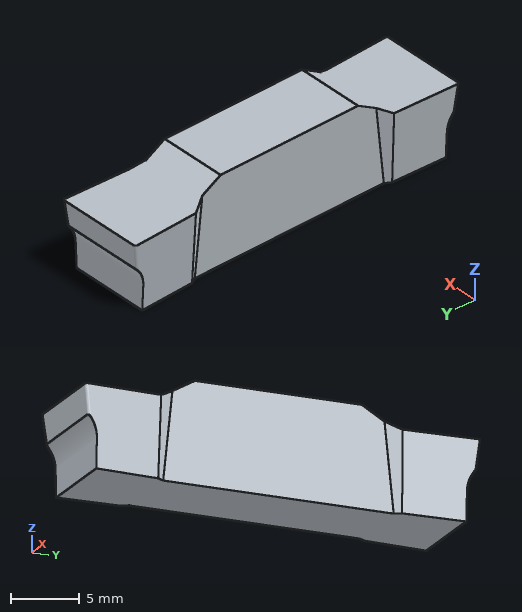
import cadquery as cq
import math

length = 31.62
cutting_width = 8.0
height = 8.08

waist_width = 6.2
crest_length = 13.4
ramp_angle = 30.0
ramp_fillet = 0.6

end_height = 6.38
end_relief_angle = 7.0
end_relief_height = 2.32
foot_length = 29.62
foot_height = 2.3
corner_radius = 0.2
side_taper_angle = 2.5
side_draft_angle = 3.0
shoulder_y = 9.66
shoulder_angle = 30.0

end_overrun = 1.0


def tan_deg(angle):
    return math.tan(math.radians(angle))


def cos_deg(angle):
    return math.cos(math.radians(angle))


half_length = length / 2
half_foot = foot_length / 2
half_crest = crest_length / 2
ramp_foot_y = half_crest + (height - end_height) / tan_deg(ramp_angle)

relief_z = end_height - end_relief_height
relief_y = half_length - end_relief_height * tan_deg(end_relief_angle)
half_base = half_length - end_height * tan_deg(end_relief_angle)

corner_excess = corner_radius * (tan_deg(side_taper_angle) + 1 / cos_deg(side_taper_angle) - 1)
sharp_half_width = cutting_width / 2 + corner_excess


def long_profile():
    """Side outline swept across the full width, with relieved end faces and filleted ramp feet."""
    profile = (
        cq.Workplane("YZ")
        .polyline(
            [
                (-half_base, 0),
                (half_base, 0),
                (half_length, end_height),
                (ramp_foot_y, end_height),
                (half_crest, height),
                (-half_crest, height),
                (-ramp_foot_y, end_height),
                (-half_length, end_height),
            ]
        )
        .close()
        .extrude(cutting_width, both=True)
    )
    for side in (-1, 1):
        ramp_foot = cq.selectors.NearestToPointSelector((0, side * ramp_foot_y, end_height))
        profile = profile.edges(ramp_foot).fillet(ramp_fillet)
    return profile


def undercut():
    """Material removed under the +Y cutting edge: upright foot face and a concave arc tangent to it."""
    return (
        cq.Workplane("YZ")
        .moveTo(half_foot, 0)
        .lineTo(half_foot, foot_height)
        .tangentArcPoint((relief_y, relief_z), relative=False)
        .lineTo(half_length, relief_z)
        .lineTo(half_length, 0)
        .close()
        .extrude(cutting_width, both=True)
    )


def end_outline(z):
    """Plan outline of the +Y end at height z, from the shoulder apex out past the cutting edge."""
    inset = (end_height - z) * tan_deg(side_draft_angle)
    half_width = sharp_half_width - inset / cos_deg(side_taper_angle)

    bisector = math.radians((side_taper_angle + shoulder_angle) / 2)
    half_turn = (shoulder_angle - side_taper_angle) / 2
    corner_y = shoulder_y + inset * math.sin(bisector) / cos_deg(half_turn)
    corner_x = half_width - (half_length - corner_y) * tan_deg(side_taper_angle)
    apex_y = corner_y - corner_x / tan_deg(shoulder_angle)
    tip_y = half_length + end_overrun
    tip_x = half_width + end_overrun * tan_deg(side_taper_angle)
    return [(-tip_x, tip_y), (-corner_x, corner_y), (0, apex_y), (corner_x, corner_y), (tip_x, tip_y)]


def end_block():
    """+Y end with tapered sides and shoulders, all walls leaning outward going up."""
    return (
        cq.Workplane("XY")
        .polyline(end_outline(0))
        .close()
        .workplane(offset=height)
        .polyline(end_outline(height))
        .close()
        .loft(ruled=True)
    )


def round_end_corners(body):
    """Round the four upright corners between the relieved end faces and the sides."""
    corner_z = end_height / 2
    corner_y = (half_length + half_base) / 2
    for x_side in (-1, 1):
        for y_side in (-1, 1):
            corner = (x_side * sharp_half_width, y_side * corner_y, corner_z)
            body = body.edges(cq.selectors.NearestToPointSelector(corner)).fillet(corner_radius)
    return body


def blank():
    """Body before undercutting: drafted ends joined by the waist, trimmed to the long profile."""
    waist = cq.Workplane("XY").box(waist_width, 2 * shoulder_y, height, centered=(True, True, False))
    plan_body = waist.union(end_block()).union(end_block().mirror("XZ"))
    return plan_body.intersect(long_profile())


result = round_end_corners(blank()).cut(undercut()).cut(undercut().mirror("XZ"))